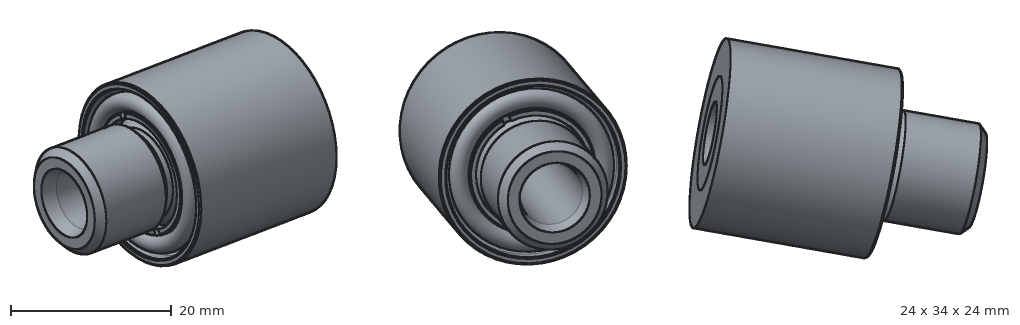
import cadquery as cq
import math


housing_radius = 12.0
housing_length = 22.0
housing_chamfer = 0.2

groove_radius = 11.05
groove_mouth_chamfer = 0.17
groove_corner_radius = 0.48

ring_outer_radius = 8.05
ring_bore_radius = 7.25
ring_front = 0.17
ring_length = 5.0
ring_chamfer = 0.17
notch_radius = 0.48
notch_count = 2
notch_angle = 26.0

seal_section_radius = 1.22
seal_protrusion = 0.35

nose_length = 12.0
nose_radius = 7.0
nose_chamfer = 1.02
nose_rear = -0.37
neck_end = 0.58
flare_half_angle = 40.0
hole_radius = 4.0
mouth_radius = 4.5
mouth_depth = 2.0

seal_depth = seal_section_radius - seal_protrusion
seal_ring_radius = ring_outer_radius + seal_section_radius
groove_depth = seal_depth + seal_section_radius
ring_back = ring_front + ring_length
neck_radius = nose_radius - nose_chamfer
flare_end = neck_end + (ring_bore_radius - neck_radius) / math.tan(math.radians(flare_half_angle))


def revolve_about_y(profile):
    """Turn a closed (radius, Y) profile once around the Y axis."""
    return profile.close().revolve(360, (0, 0, 0), (0, 1, 0))


def make_housing():
    corner_offset = groove_corner_radius * (1 - math.sqrt(0.5))
    profile = (
        cq.Workplane("XY")
        .moveTo(ring_bore_radius, housing_length)
        .lineTo(housing_radius, housing_length)
        .lineTo(housing_radius, housing_chamfer)
        .lineTo(housing_radius - housing_chamfer, 0)
        .lineTo(groove_radius + groove_mouth_chamfer, 0)
        .lineTo(groove_radius, groove_mouth_chamfer)
        .lineTo(groove_radius, groove_depth - groove_corner_radius)
        .threePointArc(
            (groove_radius - corner_offset, groove_depth - corner_offset),
            (groove_radius - groove_corner_radius, groove_depth),
        )
        .lineTo(ring_outer_radius, groove_depth)
        .lineTo(ring_outer_radius, ring_back)
        .lineTo(ring_bore_radius, ring_back)
    )
    return revolve_about_y(profile)


def make_guide_ring():
    profile = (
        cq.Workplane("XY")
        .moveTo(ring_bore_radius, ring_front)
        .lineTo(ring_outer_radius - ring_chamfer, ring_front)
        .lineTo(ring_outer_radius, ring_front + ring_chamfer)
        .lineTo(ring_outer_radius, ring_back)
        .lineTo(ring_bore_radius, ring_back)
    )
    ring = revolve_about_y(profile)
    notch = (
        cq.Workplane("XY")
        .transformed(offset=(0, ring_front, 0), rotate=(0, 0, 90))
        .circle(notch_radius)
        .extrude(ring_outer_radius + notch_radius)
    )
    for index in range(notch_count):
        angle = notch_angle + index * 360 / notch_count
        ring = ring.cut(notch.rotate((0, 0, 0), (0, 1, 0), -angle))
    return ring


def make_seal():
    section = cq.Workplane("XY").center(seal_ring_radius, seal_depth).circle(seal_section_radius)
    return section.revolve(360, (-seal_ring_radius, 0, 0), (-seal_ring_radius, 1, 0))


def make_shaft():
    profile = (
        cq.Workplane("XY")
        .moveTo(mouth_radius, -nose_length)
        .lineTo(nose_radius - nose_chamfer, -nose_length)
        .lineTo(nose_radius, nose_chamfer - nose_length)
        .lineTo(nose_radius, nose_rear - nose_chamfer)
        .lineTo(neck_radius, nose_rear)
        .lineTo(neck_radius, neck_end)
        .lineTo(ring_bore_radius, flare_end)
        .lineTo(ring_bore_radius, housing_length)
        .lineTo(hole_radius, housing_length)
        .lineTo(hole_radius, mouth_depth - nose_length)
    )
    return revolve_about_y(profile)


housing = make_housing()
guide_ring = make_guide_ring()
seal = make_seal()
shaft = make_shaft()

result = cq.Compound.makeCompound([housing.val(), guide_ring.val(), seal.val(), shaft.val()])